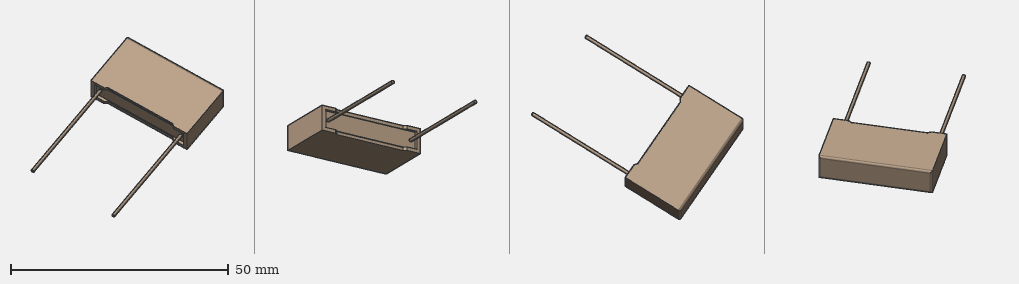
import cadquery as cq

TOTAL_LENGTH = 42.1
CASE_WIDTH = 26.8
CASE_LENGTH = 15.15
CASE_HEIGHT = 6.25

SIDE_WALL = 1.0
FACE_WALL = 0.9
BACK_WALL = SIDE_WALL
BACK_FILLET = 0.5
NOTCH_DEPTH = 0.55
NOTCH_MOUTH_WIDTH = 19.45
NOTCH_FLOOR_WIDTH = 18.0

FILL_RECESS = 0.8
FILL_WIDTH = CASE_WIDTH - 2 * SIDE_WALL
FILL_HEIGHT = CASE_HEIGHT - 2 * FACE_WALL

LEAD_DIAMETER = 0.8
LEAD_PITCH = 22.5

BACK_Y = CASE_LENGTH
CAVITY_END_Y = BACK_Y - BACK_WALL
LEAD_TIP_Y = BACK_Y - TOTAL_LENGTH


def box_between(width, height, start_y, end_y):
    """Box centred on X and Z that spans start_y to end_y."""
    length = end_y - start_y
    return cq.Workplane("XY").box(width, length, height).translate((0, start_y + length / 2, 0))


def make_rim_notch():
    """Shallow trapezoid cut across both broad faces, leaving feet at the corners."""
    return (
        cq.Workplane("XY")
        .moveTo(-NOTCH_MOUTH_WIDTH / 2, 0)
        .lineTo(-NOTCH_FLOOR_WIDTH / 2, NOTCH_DEPTH)
        .lineTo(NOTCH_FLOOR_WIDTH / 2, NOTCH_DEPTH)
        .lineTo(NOTCH_MOUTH_WIDTH / 2, 0)
        .close()
        .extrude(CASE_HEIGHT / 2, both=True)
    )


def make_case():
    """Open box with a rounded back end and a notched rim."""
    shell = box_between(CASE_WIDTH, CASE_HEIGHT, 0, BACK_Y)
    shell = shell.faces(">Y").edges().fillet(BACK_FILLET)
    cavity = box_between(FILL_WIDTH, FILL_HEIGHT, 0, CAVITY_END_Y)
    return shell.cut(cavity).cut(make_rim_notch())


def make_fill():
    """Block that fills the cavity up to the recessed face."""
    return box_between(FILL_WIDTH, FILL_HEIGHT, FILL_RECESS, CAVITY_END_Y)


def make_lead(x):
    """Straight round wire standing on the face of the fill."""
    return (
        cq.Workplane("XZ", origin=(x, FILL_RECESS, 0))
        .circle(LEAD_DIAMETER / 2)
        .extrude(FILL_RECESS - LEAD_TIP_Y)
    )


case = make_case()
fill = make_fill()
leads = [make_lead(side * LEAD_PITCH / 2) for side in (-1, 1)]

result = cq.Compound.makeCompound([case.val(), fill.val(), *[lead.val() for lead in leads]])